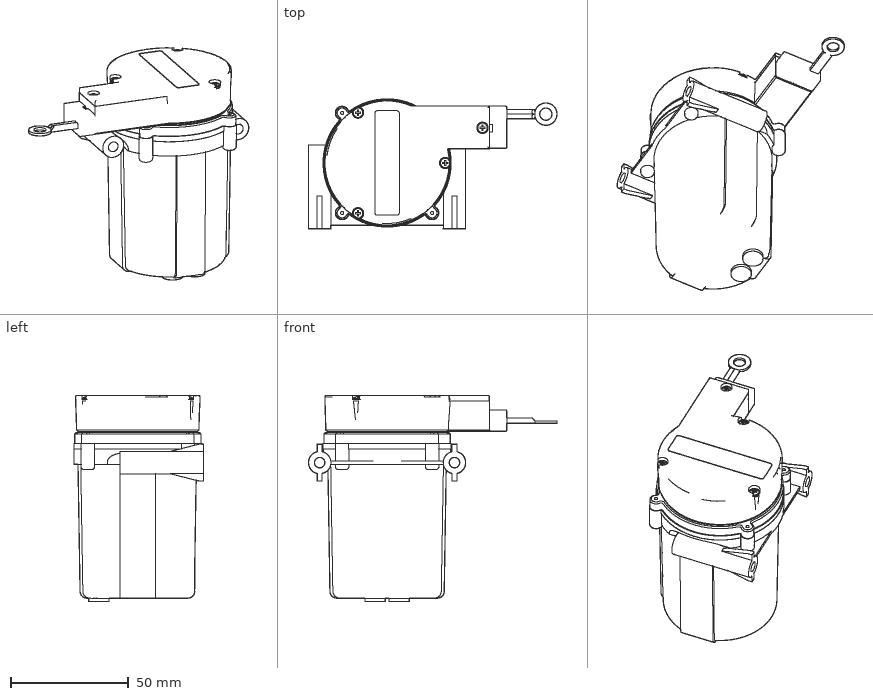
import cadquery as cq
import math

FOOT_HEIGHT = 1.4
COLLAR_BOTTOM_Z = 58.2
RING_BOTTOM_Z = 64.7
FLANGE_BOTTOM_Z = 67.1
FLANGE_TOP_Z = 71.65
CAP_BOTTOM_Z = 72.15
LID_BOTTOM_Z = 85.0
TOP_Z = 87.45

CUP_TOP_RADIUS = 50.09 / 2
CUP_BOTTOM_RADIUS = 48.26 / 2
CUP_BOTTOM_FILLET = 3.0
SIDE_PAD_WIDTH = 15.0
SIDE_PAD_RISE = 0.1
BACK_PAD_WIDTH = 13.0
BACK_PAD_RISE = 0.35
FOOT_DIAMETER = 8.71
FOOT_SPACING = 10.16
FOOT_Y = 16.5

COLLAR_RADIUS = 27.1
RING_RADIUS = 27.18
FLANGE_RADIUS = 26.8
NECK_RADIUS = 25.4
SEAM_CHAMFER = 0.6

BOSS_CIRCLE_RADIUS = 28.5
BOSS_ANGLE = 48.0
UPPER_BOSS_DIAMETER = 5.38
LOWER_BOSS_DIAMETER = 5.77
BOSS_BOTTOM_Z = 56.0
BOSS_END_FILLET = 1.2
BOSS_ROOT_FILLET = 1.0
BOSS_HOLE_DIAMETER = 1.27
BOSS_HOLE_DEPTH = 2.0

TUBE_X = 28.575
TUBE_Z = 58.9
TUBE_DIAMETER = 9.53
TUBE_BORE = 4.32
TUBE_FRONT_Y = -27.94
TUBE_LENGTH = 35.56
FIN_THICKNESS = 2.16
FIN_HALF_HEIGHT = 7.87
FIN_LENGTH = 14.0
FIN_FLAT_LENGTH = 1.8
PLATE_FRONT_Y = -26.416
PLATE_THICKNESS = 1.4

CAP_RADIUS = 52.83 / 2
CAP_BOTTOM_RADIUS = 26.0
ARM_END_X = 43.5
ARM_FRONT_Y = 6.0
ARM_BACK_Y = 24.15
LID_ARM_INSET = 0.1
LID_CORNER_FILLET = 0.4
LID_FILLET = 0.75
LABEL_WIDTH = 10.35
LABEL_LENGTH = 44.3
LABEL_CORNER_RADIUS = 1.1
LABEL_DEPTH = 0.2

SCREW_CIRCLE_RADIUS = 24.63
SCREW_ANGLES = (0, 120, 240)
ARM_SCREW_POINT = (40.45, 14.9)
COUNTERBORE_DIAMETER = 4.78
COUNTERBORE_DEPTH = 1.8
SCREW_HEAD_DIAMETER = 4.01
SCREW_HEAD_HEIGHT = 1.3
SCREW_HEAD_RIM_HEIGHT = 0.5
CROSS_LENGTH = 2.26
CROSS_WIDTH = 0.6
CROSS_DEPTH = 0.6
SCREW_BOSS_TOP_RADIUS = 2.13
SCREW_BOSS_BOTTOM_RADIUS = 1.48
SCREW_BOSS_BOTTOM_Z = 75.8

BLOCK_END_X = 50.75
BLOCK_TOP_Z = 81.3
BLOCK_FILLET = 0.6
BLOCK_INSET = 0.15
NOTCH_LENGTH = 1.2
NOTCH_WIDTH = 3.1
NOTCH_Y = 14.75
NOTCH_DEPTH = 0.5

TERMINAL_Y = 20.7
TERMINAL_BOTTOM_Z = 75.5
EYE_X = 67.305
EYE_DIAMETER = 9.53
EYE_HOLE_DIAMETER = 5.08
EYE_THICKNESS = 1.1
BARREL_WIDTH = 4.01
BARREL_HEIGHT = 2.4
BARREL_SHOULDER_HEIGHT = 1.45
BARREL_END_X = 62.7
BARREL_BEVEL = BARREL_HEIGHT - EYE_THICKNESS

BOSS_ANGLES = (BOSS_ANGLE, 180 - BOSS_ANGLE, 180 + BOSS_ANGLE, -BOSS_ANGLE)


def cylinder(diameter, bottom_z, top_z, x=0.0, y=0.0):
    """Upright cylinder between two heights."""
    return cq.Workplane("XY", origin=(x, y, bottom_z)).circle(diameter / 2).extrude(top_z - bottom_z)


def cone(bottom_radius, top_radius, bottom_z, top_z, x=0.0, y=0.0):
    """Upright truncated cone between two heights."""
    solid = cq.Solid.makeCone(bottom_radius, top_radius, top_z - bottom_z, cq.Vector(x, y, bottom_z))
    return cq.Workplane(obj=solid)


def box(x_range, y_range, z_range):
    """Axis-aligned block given by its limits."""
    size = [high - low for low, high in (x_range, y_range, z_range)]
    corner = (x_range[0], y_range[0], z_range[0])
    return cq.Workplane("XY", origin=corner).box(*size, centered=False)


def make_pad(width, rise):
    """Flat pad on the +X side that follows the taper and rounding of the cup."""
    profile = (
        cq.Workplane("XZ", origin=(0, width / 2, 0))
        .moveTo(0, FOOT_HEIGHT)
        .lineTo(CUP_BOTTOM_RADIUS + rise, FOOT_HEIGHT)
        .lineTo(CUP_TOP_RADIUS + rise, COLLAR_BOTTOM_Z)
        .lineTo(0, COLLAR_BOTTOM_Z)
        .close()
    )
    pad = profile.extrude(width)
    return pad.faces("<Z").edges(">X").fillet(CUP_BOTTOM_FILLET)


def make_cup():
    """Tapered cup with rounded bottom edge, three pads and two feet."""
    cup = cone(CUP_BOTTOM_RADIUS, CUP_TOP_RADIUS, FOOT_HEIGHT, COLLAR_BOTTOM_Z)
    cup = cup.faces("<Z").edges().fillet(CUP_BOTTOM_FILLET)
    pads = (
        (SIDE_PAD_WIDTH, SIDE_PAD_RISE, 0),
        (BACK_PAD_WIDTH, BACK_PAD_RISE, 90),
        (SIDE_PAD_WIDTH, SIDE_PAD_RISE, 180),
    )
    for width, rise, turn in pads:
        cup = cup.union(make_pad(width, rise).rotate((0, 0, 0), (0, 0, 1), turn))
    for side in (-1, 1):
        foot_x = side * FOOT_SPACING / 2
        cup = cup.union(cylinder(FOOT_DIAMETER, 0, FOOT_HEIGHT + CUP_BOTTOM_FILLET, foot_x, FOOT_Y))
    return cup


def make_collar():
    """Collar and ring around the cup top, relieved for the mounting tubes."""
    collar = cylinder(2 * COLLAR_RADIUS, COLLAR_BOTTOM_Z, RING_BOTTOM_Z)
    for side in (-1, 1):
        clearance = (
            cq.Workplane("XZ", origin=(side * TUBE_X, 0, TUBE_Z))
            .circle(TUBE_DIAMETER / 2)
            .extrude(-COLLAR_RADIUS)
        )
        collar = collar.cut(clearance)
    ring = cylinder(2 * RING_RADIUS, RING_BOTTOM_Z, FLANGE_BOTTOM_Z)
    return collar.union(ring)


def make_boss(diameter, bottom_z, top_z, angle):
    """Round boss centred on the boss circle."""
    boss = cylinder(diameter, bottom_z, top_z, BOSS_CIRCLE_RADIUS)
    return boss.rotate((0, 0, 0), (0, 0, 1), angle)


def make_flange():
    """Flange with blended upper bosses, a chamfered top edge and the neck."""
    flange = cylinder(2 * FLANGE_RADIUS, FLANGE_BOTTOM_Z, FLANGE_TOP_Z)
    for angle in BOSS_ANGLES:
        flange = flange.union(make_boss(UPPER_BOSS_DIAMETER, FLANGE_BOTTOM_Z, FLANGE_TOP_Z, angle))
    flange = flange.edges("|Z").fillet(BOSS_ROOT_FILLET)
    flange = flange.faces(">Z").edges().chamfer(SEAM_CHAMFER)
    for angle in BOSS_ANGLES:
        hole_bottom_z = FLANGE_TOP_Z - BOSS_HOLE_DEPTH
        flange = flange.cut(make_boss(BOSS_HOLE_DIAMETER, hole_bottom_z, FLANGE_TOP_Z, angle))
    return flange.union(cylinder(2 * NECK_RADIUS, FLANGE_TOP_Z, CAP_BOTTOM_Z))


def make_lower_boss(angle):
    """Lower part of a screw boss, rounded at its bottom end."""
    boss = make_boss(LOWER_BOSS_DIAMETER, BOSS_BOTTOM_Z, FLANGE_BOTTOM_Z, angle)
    return boss.faces("<Z").edges().fillet(BOSS_END_FILLET)


def make_mount(side):
    """Mounting tube along Y with tapered fins above and below its front end."""
    tube = (
        cq.Workplane("XZ", origin=(side * TUBE_X, TUBE_FRONT_Y, TUBE_Z))
        .circle(TUBE_DIAMETER / 2)
        .extrude(-TUBE_LENGTH)
    )
    fin_flat_y = TUBE_FRONT_Y + FIN_FLAT_LENGTH
    fin_end_y = TUBE_FRONT_Y + FIN_LENGTH
    tube_radius = TUBE_DIAMETER / 2
    fins = (
        cq.Workplane("YZ", origin=(side * TUBE_X - FIN_THICKNESS / 2, 0, TUBE_Z))
        .polyline([
            (TUBE_FRONT_Y, -FIN_HALF_HEIGHT),
            (fin_flat_y, -FIN_HALF_HEIGHT),
            (fin_end_y, -tube_radius),
            (fin_end_y, tube_radius),
            (fin_flat_y, FIN_HALF_HEIGHT),
            (TUBE_FRONT_Y, FIN_HALF_HEIGHT),
        ])
        .close()
        .extrude(FIN_THICKNESS)
    )
    return tube.union(fins)


def make_tube_bore(side):
    """Bolt passage through the full length of a mounting tube."""
    return (
        cq.Workplane("XZ", origin=(side * TUBE_X, TUBE_FRONT_Y, TUBE_Z))
        .circle(TUBE_BORE / 2)
        .extrude(-TUBE_LENGTH)
    )


def make_plate():
    """Thin web plate joining both tubes to the collar."""
    return box(
        (-TUBE_X, TUBE_X),
        (PLATE_FRONT_Y, 0),
        (COLLAR_BOTTOM_Z, COLLAR_BOTTOM_Z + PLATE_THICKNESS),
    )


def make_cap():
    """Round cap with a straight side arm, a rounded lid edge and a label recess."""
    arm_sides = ((0, ARM_END_X), (ARM_FRONT_Y, ARM_BACK_Y))
    shell = cone(CAP_BOTTOM_RADIUS, CAP_RADIUS, CAP_BOTTOM_Z, LID_BOTTOM_Z)
    shell = shell.union(box(*arm_sides, (CAP_BOTTOM_Z, LID_BOTTOM_Z)))
    shell = shell.faces("<Z").edges().chamfer(SEAM_CHAMFER)

    lid_arm_sides = (
        (0, ARM_END_X - LID_ARM_INSET),
        (ARM_FRONT_Y + LID_ARM_INSET, ARM_BACK_Y - LID_ARM_INSET),
    )
    lid = cylinder(2 * CAP_RADIUS, LID_BOTTOM_Z, TOP_Z)
    lid = lid.union(box(*lid_arm_sides, (LID_BOTTOM_Z, TOP_Z)))
    lid = lid.edges("|Z and (not >X)").fillet(LID_CORNER_FILLET)
    lid = lid.faces(">Z").edges().fillet(LID_FILLET)

    cap = shell.union(lid)
    for angle in SCREW_ANGLES:
        x, y = screw_point(angle)
        cap = cap.union(cone(
            SCREW_BOSS_BOTTOM_RADIUS,
            SCREW_BOSS_TOP_RADIUS,
            SCREW_BOSS_BOTTOM_Z,
            LID_BOTTOM_Z,
            x,
            y,
        ))
    label = (
        cq.Workplane("XY", origin=(0, 0, TOP_Z - LABEL_DEPTH))
        .rect(LABEL_WIDTH, LABEL_LENGTH)
        .extrude(LABEL_DEPTH)
        .edges("|Z")
        .fillet(LABEL_CORNER_RADIUS)
    )
    return cap.cut(label)


def screw_point(angle):
    """Centre of a screw on the cap's screw circle."""
    radians = math.radians(angle)
    return SCREW_CIRCLE_RADIUS * math.cos(radians), SCREW_CIRCLE_RADIUS * math.sin(radians)


def make_screw_head(x, y):
    """Domed screw head with a cross recess, seated on the counterbore floor."""
    seat_z = TOP_Z - COUNTERBORE_DEPTH
    head_top_z = seat_z + SCREW_HEAD_HEIGHT
    head_radius = SCREW_HEAD_DIAMETER / 2
    dome_rise = SCREW_HEAD_HEIGHT - SCREW_HEAD_RIM_HEIGHT
    dome_radius = (head_radius**2 + dome_rise**2) / (2 * dome_rise)
    dome = cq.Workplane("XY", origin=(x, y, head_top_z - dome_radius)).sphere(dome_radius)
    head = cylinder(SCREW_HEAD_DIAMETER, seat_z, head_top_z, x, y).intersect(dome)
    recess = cq.Workplane("XY", origin=(x, y, head_top_z - CROSS_DEPTH))
    cross = recess.rect(CROSS_LENGTH, CROSS_WIDTH).extrude(CROSS_DEPTH)
    cross = cross.union(recess.rect(CROSS_WIDTH, CROSS_LENGTH).extrude(CROSS_DEPTH))
    return head.cut(cross)


def fit_screws(cap):
    """Counterbore the cap and seat a screw head in each counterbore."""
    points = [screw_point(angle) for angle in SCREW_ANGLES] + [ARM_SCREW_POINT]
    for x, y in points:
        cap = cap.cut(cylinder(COUNTERBORE_DIAMETER, TOP_Z - COUNTERBORE_DEPTH, TOP_Z, x, y))
        cap = cap.union(make_screw_head(x, y))
    return cap


def make_block():
    """Connector block on the arm end with a shallow notch next to the arm."""
    block = box(
        (ARM_END_X, BLOCK_END_X),
        (ARM_FRONT_Y + BLOCK_INSET, ARM_BACK_Y),
        (CAP_BOTTOM_Z, BLOCK_TOP_Z),
    )
    block = block.edges(">X or |X").fillet(BLOCK_FILLET)
    notch = box(
        (ARM_END_X, ARM_END_X + NOTCH_LENGTH),
        (NOTCH_Y - NOTCH_WIDTH / 2, NOTCH_Y + NOTCH_WIDTH / 2),
        (BLOCK_TOP_Z - NOTCH_DEPTH, BLOCK_TOP_Z),
    )
    return block.cut(notch)


def make_terminal():
    """Ring terminal: a crimp barrel of two rolled lobes with a beveled end and a flat eye."""
    eye_top_z = TERMINAL_BOTTOM_Z + EYE_THICKNESS
    half_width = BARREL_WIDTH / 2
    lobe_middle = half_width / 2
    barrel = (
        cq.Workplane("YZ", origin=(BLOCK_END_X - BLOCK_FILLET, TERMINAL_Y, TERMINAL_BOTTOM_Z))
        .moveTo(-half_width, 0)
        .lineTo(half_width, 0)
        .lineTo(half_width, BARREL_SHOULDER_HEIGHT)
        .threePointArc((lobe_middle, BARREL_HEIGHT), (0, BARREL_SHOULDER_HEIGHT))
        .threePointArc((-lobe_middle, BARREL_HEIGHT), (-half_width, BARREL_SHOULDER_HEIGHT))
        .close()
        .extrude(BARREL_END_X - BLOCK_END_X + BLOCK_FILLET)
    )
    bevel = (
        cq.Workplane("XZ", origin=(BARREL_END_X, TERMINAL_Y + half_width, eye_top_z))
        .polyline([(0, 0), (0, BARREL_BEVEL), (-BARREL_BEVEL, BARREL_BEVEL)])
        .close()
        .extrude(BARREL_WIDTH)
    )
    eye = cylinder(EYE_DIAMETER, TERMINAL_BOTTOM_Z, eye_top_z, EYE_X, TERMINAL_Y)
    hole = cylinder(EYE_HOLE_DIAMETER, TERMINAL_BOTTOM_Z, eye_top_z, EYE_X, TERMINAL_Y)
    return barrel.cut(bevel).union(eye).cut(hole)


body = make_cup().union(make_collar()).union(make_flange())
for boss_angle in BOSS_ANGLES:
    body = body.union(make_lower_boss(boss_angle))
body = body.union(make_plate())
for tube_side in (-1, 1):
    body = body.union(make_mount(tube_side)).cut(make_tube_bore(tube_side))
body = body.union(fit_screws(make_cap()))
result = body.union(make_block()).union(make_terminal())